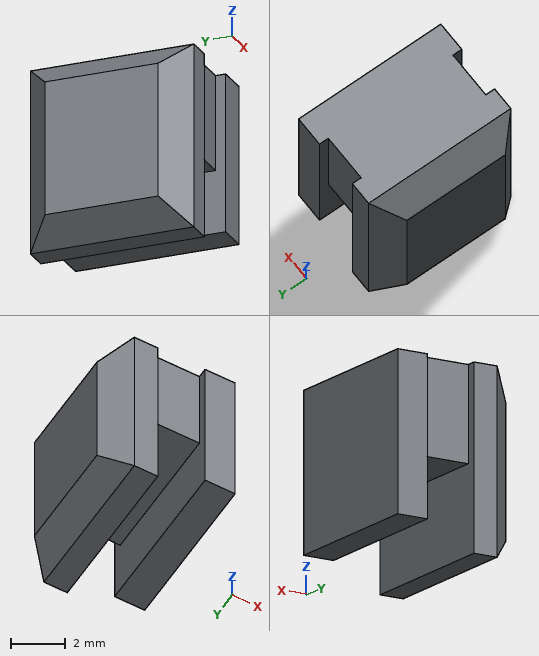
import cadquery as cq

length = 5.3
width = 6.5
height = 7.3

bevel = 1.0
front_plate_thickness = 2 * bevel

rear_plate_thickness = 1.285
rear_plate_height = height - bevel

core_side_inset = 0.4
core_height = 3.79
core_length = length - front_plate_thickness - rear_plate_thickness
core_width = width - 2 * core_side_inset


def block_from_top(start_x, size_x, size_y, size_z):
    """Block centred on Y, running +X from start_x and hanging from the top face."""
    return (
        cq.Workplane("XY")
        .box(size_x, size_y, size_z, centered=(False, True, False))
        .translate((start_x, 0, height - size_z))
    )


front_plate = (
    block_from_top(0, front_plate_thickness, width, height)
    .faces("<X")
    .chamfer(bevel)
)
core = block_from_top(front_plate_thickness, core_length, core_width, core_height)
rear_plate = block_from_top(
    length - rear_plate_thickness, rear_plate_thickness, width, rear_plate_height
)

result = front_plate.union(core).union(rear_plate)